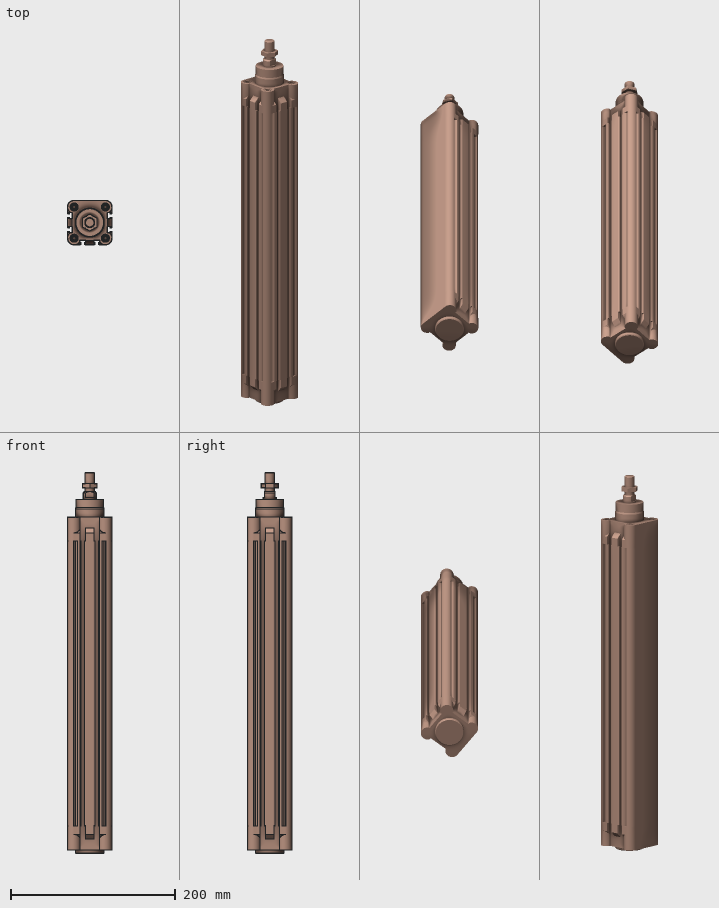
import cadquery as cq
import math

total_length = 463.0
width = 54.0
bolt_pitch = 38.0

rear_cap_base = 4.0
rear_cap_length = 29.5
front_cap_length = 28.5
front_cap_top = 409.0
collar_top = 430.5
rod_shoulder = 440.0

recess_depth = 5.5
key_offset = 19.0
rib_width = 9.5
slot_outer = 12.0

lip_thickness = 3.0
mouth_inner = 6.5
mouth_outer = 10.5
mouth_bevel_depth = 0.5

groove_inner = 15.0
groove_floor_inner = 17.5
groove_floor_outer = 19.0
groove_outer = 20.0
groove_depth = 3.0

collar_diameter = 35.0
collar_step_diameter = 34.0
collar_step_height = 420.5
collar_bevel_height = 2.0
spigot_chamfer = 1.0

counterbore_diameter = 9.5
counterbore_depth = 1.0
head_diameter = 8.0
socket_diameter = 6.0
socket_depth = 2.5
bore_diameter = 4.1
bore_depth = 7.0

rod_diameter = 16.0
thread_diameter = 12.0
rod_chamfer = 1.5
thread_chamfer = 0.7
flat_width = 13.0
flat_bottom = 432.5

nut_across_flats = 18.0
nut_thickness = 5.0
nut_bottom = 444.5

half = width / 2
rib_half_width = rib_width / 2
collar_bevel = (collar_diameter - collar_step_diameter) / 2
half_pitch = bolt_pitch / 2
corner_radius = half - half_pitch
recess_half = half - recess_depth
barrel_bottom = rear_cap_base + rear_cap_length
barrel_top = front_cap_top - front_cap_length
bolt_points = [(sx * half_pitch, sy * half_pitch) for sx in (-1, 1) for sy in (-1, 1)]
slotted_sides = (0, 90, -90)


def bar(x_min, x_max, y_min, y_max, z_min, z_max):
    """Box given by its limits."""
    size = (x_max - x_min, y_max - y_min, z_max - z_min)
    return cq.Workplane("XY").box(*size, centered=False).translate((x_min, y_min, z_min))


def disc(diameter, z_min, z_max):
    return cq.Workplane("XY").workplane(offset=z_min).circle(diameter / 2).extrude(z_max - z_min)


def on_slotted_sides(shape):
    """Copies of a shape made for the -Y side, one for each slotted side."""
    copies = cq.Workplane("XY")
    for turn in slotted_sides:
        copies = copies.add(shape.rotate((0, 0, 0), (0, 0, 1), turn))
    return copies.combine()


def key(x_min, x_max, key_length):
    """Block on the -Y recess of a cap, from Z = 0 with a 45 degree end past its straight length."""
    return (
        cq.Workplane("YZ").workplane(offset=x_min)
        .moveTo(-half, 0)
        .lineTo(-recess_half, 0)
        .lineTo(-recess_half, key_length + recess_depth)
        .lineTo(-half, key_length)
        .close()
        .extrude(x_max - x_min)
    )


def cap(cap_length):
    """End cap standing on the barrel end at Z = 0, with three recessed sides and a plain +Y side."""
    core = bar(-recess_half, recess_half, -recess_half, recess_half, 0, cap_length)
    plain_side = bar(-half_pitch, half_pitch, 0, half, 0, cap_length)
    bosses = cq.Workplane("XY").pushPoints(bolt_points).circle(corner_radius).extrude(cap_length)
    clearance = on_slotted_sides(bar(-slot_outer, slot_outer, -half, -recess_half, 0, cap_length))
    bosses = bosses.cut(clearance)
    key_length = cap_length - key_offset
    keys = (
        key(-rib_half_width, rib_half_width, key_length)
        .union(key(slot_outer, half_pitch, key_length))
        .union(key(-half_pitch, -slot_outer, key_length))
    )
    return core.union(plain_side).union(bosses).union(on_slotted_sides(keys))


def mouth_bevel(side, length):
    """Funnel that widens a slot mouth to the full slot width at the -Y face."""
    return (
        cq.Workplane("XY")
        .moveTo(side * rib_half_width, -half)
        .lineTo(side * mouth_inner, -half + mouth_bevel_depth)
        .lineTo(side * mouth_outer, -half + mouth_bevel_depth)
        .lineTo(side * slot_outer, -half)
        .close()
        .extrude(length)
    )


def corner_groove(side, length):
    """Flat-bottomed groove with sloping walls, at the start of a rounded corner."""
    return (
        cq.Workplane("XY")
        .moveTo(side * groove_inner, -half)
        .lineTo(side * groove_floor_inner, -half + groove_depth)
        .lineTo(side * groove_floor_outer, -half + groove_depth)
        .lineTo(side * groove_outer, -half)
        .close()
        .extrude(length)
    )


def barrel():
    """Rounded square bar with two T-slots and two corner grooves along each slotted side."""
    length = barrel_top - barrel_bottom
    body = cq.Workplane("XY").rect(width, width).extrude(length).edges("|Z").fillet(corner_radius)
    cuts = cq.Workplane("XY")
    for side in (-1, 1):
        mouth = sorted((side * mouth_inner, side * mouth_outer))
        slot = sorted((side * rib_half_width, side * slot_outer))
        cuts = cuts.add(bar(*mouth, -half, -recess_half, 0, length))
        cuts = cuts.add(bar(*slot, -half + lip_thickness, -recess_half, 0, length))
        cuts = cuts.add(mouth_bevel(side, length))
        cuts = cuts.add(corner_groove(side, length))
    return body.cut(on_slotted_sides(cuts.combine())).translate((0, 0, barrel_bottom))


def bolt_recesses(face_height):
    """Ring, socket and bore of each corner bolt, sunk into the front cap face."""
    face = cq.Workplane("XY").workplane(offset=face_height).pushPoints(bolt_points)
    rings = face.circle(counterbore_diameter / 2).circle(head_diameter / 2).extrude(-counterbore_depth)
    sockets = face.circle(socket_diameter / 2).extrude(-socket_depth)
    bores = face.circle(bore_diameter / 2).extrude(-bore_depth)
    return rings.union(sockets).union(bores)


def make_housing():
    front_cap = cap(front_cap_length).translate((0, 0, barrel_top))
    rear_cap = cap(rear_cap_length).mirror("XY").translate((0, 0, barrel_bottom))
    collar = disc(collar_diameter, front_cap_top, collar_step_height)
    collar = collar.faces(">Z").chamfer(collar_bevel_height, collar_bevel)
    collar_end = disc(collar_step_diameter, collar_step_height, collar_top)
    spigot = disc(collar_diameter, 0, rear_cap_base).faces("<Z").chamfer(spigot_chamfer)
    housing = barrel()
    for piece in (front_cap, rear_cap, collar, collar_end, spigot):
        housing = housing.union(piece, clean=False)
    rod_hole = disc(rod_diameter, barrel_top, collar_top)
    recesses = bolt_recesses(front_cap_top)
    return housing.cut(rod_hole, clean=False).cut(recesses, clean=False)


def make_rod():
    """Round rod with two wrench flats facing -Y and +Y, and a thinner threaded end."""
    shank = disc(rod_diameter, barrel_top, rod_shoulder).faces(">Z").chamfer(rod_chamfer)
    for side in (-1, 1):
        y_limits = sorted((side * flat_width / 2, side * rod_diameter))
        shank = shank.cut(bar(-rod_diameter, rod_diameter, *y_limits, flat_bottom, total_length))
    thread = disc(thread_diameter, rod_shoulder, total_length).faces(">Z").chamfer(thread_chamfer)
    return shank.union(thread)


def make_nut():
    """Hexagon nut with two corners on the Y axis."""
    corner_diameter = nut_across_flats / math.cos(math.pi / 6)
    hexagon = cq.Workplane("XY").workplane(offset=nut_bottom).polygon(6, corner_diameter)
    blank = hexagon.extrude(nut_thickness).rotate((0, 0, 0), (0, 0, 1), 90)
    return blank.cut(disc(thread_diameter, nut_bottom, nut_bottom + nut_thickness))


housing = make_housing()
rod = make_rod()
nut = make_nut()
result = cq.Compound.makeCompound([housing.val(), rod.val(), nut.val()])